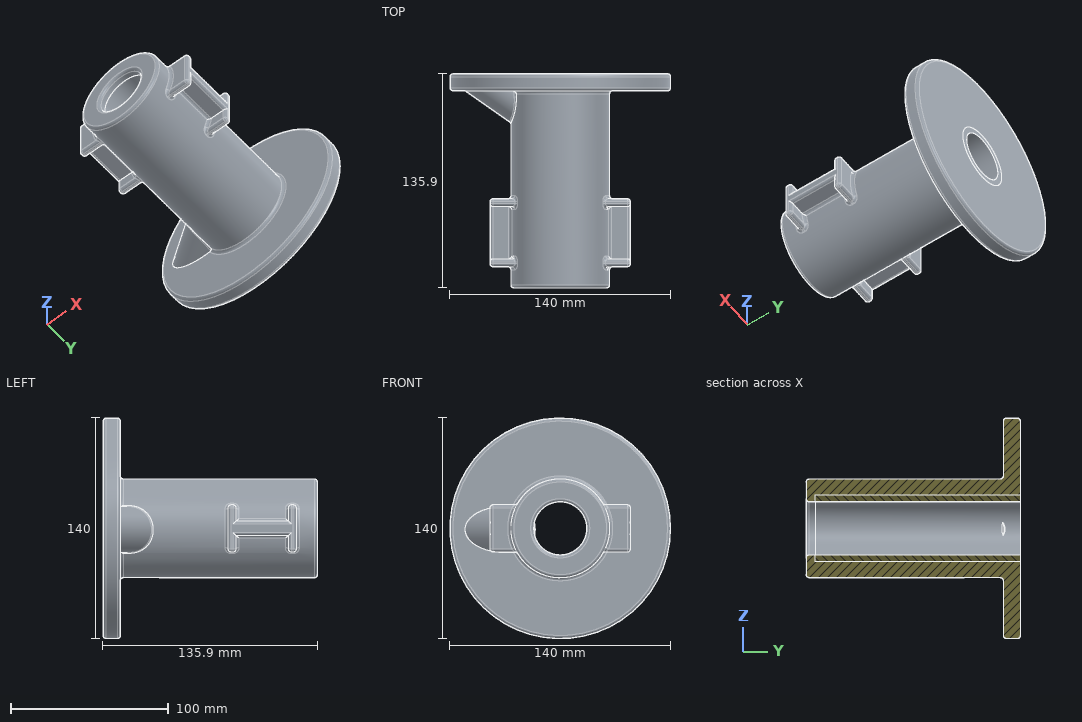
import cadquery as cq
import math

flange_radius = 70.0
flange_thickness = 10.9
hub_radius = 31.4
hub_length = 125.0
bore_radius = 16.8
edge_radius = 2.0

lug_reach = 44.5
plate_height = 30.0
plate_thickness = 5.0
plate_spacing = 38.2
plate_setback = 13.5
web_thickness = 9.4

strut_radius = 14.7
strut_slant = math.radians(35)
strut_drop = 0.7
strut_foot_x = -60.3
strut_embed = 0.07

bush_outer_radius = 21.0
bush_setback = 5.9
rod_radius = 11.2
rod_tip_x = -15.8

hub_front = -hub_length
flange_middle = flange_thickness / 2
bush_front = hub_front + bush_setback
strut_axis_x = strut_foot_x + strut_radius / math.sin(strut_slant)
surface_tolerance = 0.03
edge_margin = 0.1


def disc(radius, start_y, end_y):
    """Solid cylinder on the Y axis."""
    return cq.Workplane("XZ", origin=(0, end_y, 0)).circle(radius).extrude(end_y - start_y)


def block(start_x, end_x, start_y, end_y, height):
    """Box centred on z = 0."""
    middle = ((start_x + end_x) / 2, (start_y + end_y) / 2, 0)
    return cq.Workplane("XY").box(end_x - start_x, end_y - start_y, height).translate(middle)


def fillet_on_cylinder(body, radius, start_y, end_y):
    """Round the edges whose middles lie between two y values on a cylinder about the Y axis."""

    def lies_on_cylinder(edge):
        points = [edge.positionAt(share) for share in (0, 0.3, 0.5, 0.7, 1)]
        on_surface = all(abs(math.hypot(p.x, p.z) - radius) < surface_tolerance for p in points)
        return on_surface and start_y < edge.positionAt(0.5).y < end_y

    edges = [edge for edge in body.val().Edges() if lies_on_cylinder(edge)]
    return cq.Workplane(body.val().fillet(edge_radius, edges))


def make_flanged_hub():
    flange = disc(flange_radius, 0, flange_thickness).edges().fillet(edge_radius)
    hub = disc(hub_radius, hub_front, flange_middle).edges("<Y").fillet(edge_radius)
    return fillet_on_cylinder(flange.union(hub), hub_radius, -edge_radius, edge_radius)


def slanted_bar(radius, start, end):
    """Round bar on the strut's axis, from start to end along it; 0 is where the axis meets y = 0."""
    direction = cq.Vector(math.cos(strut_slant), -math.sin(strut_slant), 0)
    foot = cq.Vector(strut_axis_x, 0, -strut_drop)
    plane = cq.Plane(foot + direction * start, cq.Vector(0, 0, 1), direction)
    return cq.Workplane(plane).circle(radius).extrude(end - start)


def make_strut():
    """Strut with a fillet round its whole crossing with a hub core, cut off inside the flange."""
    core_radius = hub_radius - strut_embed
    core = disc(core_radius, -flange_radius, flange_radius)
    strut = core.union(slanted_bar(strut_radius, -flange_radius, hub_radius))
    strut = fillet_on_cylinder(strut, core_radius, -core_radius, core_radius)
    return strut.intersect(block(-flange_radius, 0, -flange_radius / 2, flange_middle, flange_radius))


def make_lug():
    root_x = hub_radius * 0.75
    front_y = hub_front + plate_setback
    web_start = front_y + plate_thickness / 2
    lug = block(root_x, lug_reach, web_start, web_start + plate_spacing, web_thickness)
    lug = lug.edges(">X and |Y").fillet(edge_radius)
    for start_y in (front_y, front_y + plate_spacing):
        plate = block(root_x, lug_reach, start_y, start_y + plate_thickness, plate_height)
        lug = lug.union(plate.edges("|X or >X").fillet(edge_radius))
    return lug


def make_housing():
    housing = make_flanged_hub().union(make_strut())
    lug = make_lug()
    housing = housing.union(lug).union(lug.mirror("YZ"))
    lug_start = hub_front + plate_setback
    lug_end = lug_start + plate_spacing + plate_thickness
    housing = fillet_on_cylinder(housing, hub_radius, lug_start - edge_margin, lug_end + edge_margin)
    housing = housing.cut(disc(bore_radius, hub_front, flange_thickness))
    housing = housing.faces("<Y").edges(cq.selectors.RadiusNthSelector(0)).fillet(edge_radius)
    return housing.cut(disc(bush_outer_radius, bush_front, flange_thickness))


def make_bush():
    """Sleeve whose wall holds a slanted rod tip that stands slightly into the bore."""
    sleeve = disc(bush_outer_radius, bush_front, flange_thickness)
    sleeve = sleeve.cut(disc(bore_radius, hub_front, flange_thickness))
    rod_end_x = rod_tip_x - rod_radius * math.sin(strut_slant)
    rod_end = (rod_end_x - strut_axis_x) / math.cos(strut_slant)
    rod = slanted_bar(rod_radius, -rod_radius, rod_end)
    return sleeve.union(rod.intersect(disc(bush_outer_radius, hub_front, flange_thickness)))


housing = make_housing()
bush = make_bush()

result = cq.Compound.makeCompound([housing.val(), bush.val()])